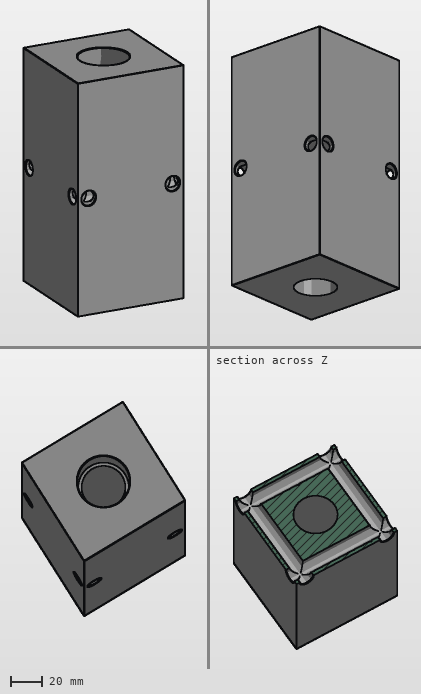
import cadquery as cq

height = 158.8
side = 76.2
edge_chamfer = 0.3

bore_diameter = 28.0
socket_top_diameter = 33.3
socket_depth = 16.5
socket_taper = 1 / 16
socket_chamfer = 0.55

cross_hole_diameter = 9.8
cross_hole_chamfer = 0.5
cross_hole_spacing = 60.5


def block():
    """Square block with all its edges chamfered."""
    body = cq.Workplane("XY").box(side, side, height, centered=(True, True, False))
    return body.edges().chamfer(edge_chamfer)


def flared_cutter(start_diameter, end_diameter, length, chamfer):
    """Round cutter along +Z from Z = 0, flared by a 45 degree chamfer at its Z = length end."""
    end_radius = end_diameter / 2
    profile = [
        (0, 0),
        (start_diameter / 2, 0),
        (end_radius, length - chamfer),
        (end_radius + chamfer, length),
        (0, length),
    ]
    return cq.Workplane("XZ").polyline(profile).close().revolve(360, (0, 0), (0, 1))


def central_bore():
    """Through bore opening into a tapered, chamfered socket in the top face."""
    bore = cq.Workplane("XY").circle(bore_diameter / 2).extrude(height)
    taper_length = socket_depth - socket_chamfer
    floor_diameter = socket_top_diameter - socket_taper * taper_length
    socket = flared_cutter(floor_diameter, socket_top_diameter, socket_depth, socket_chamfer)
    return bore.union(socket.translate((0, 0, height - socket_depth)))


def cross_hole_pair():
    """Two parallel through holes along Y at mid height, chamfered at both ends."""
    half_hole = flared_cutter(cross_hole_diameter, cross_hole_diameter, side / 2, cross_hole_chamfer)
    hole = half_hole.union(half_hole.mirror("XY")).rotate((0, 0, 0), (1, 0, 0), 90)
    left = hole.translate((-cross_hole_spacing / 2, 0, height / 2))
    right = hole.translate((cross_hole_spacing / 2, 0, height / 2))
    return left.union(right)


holes_along_y = cross_hole_pair()
holes_along_x = holes_along_y.rotate((0, 0, 0), (0, 0, 1), 90)

result = block().cut(central_bore()).cut(holes_along_y).cut(holes_along_x)